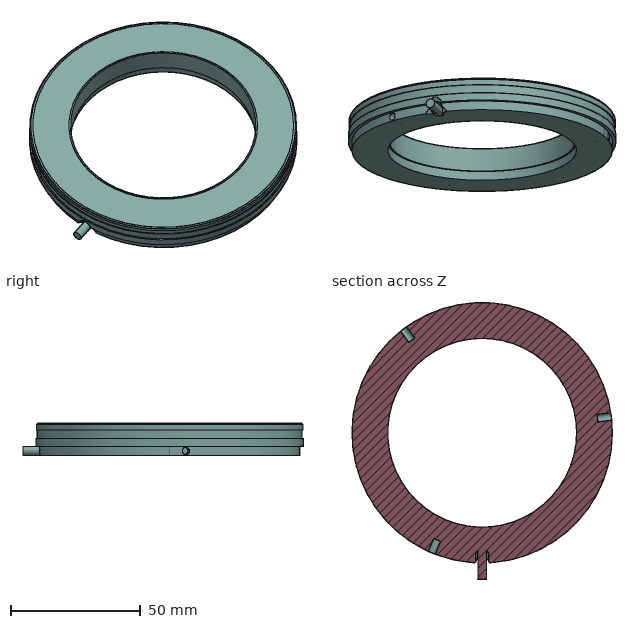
import cadquery as cq
import math

base_diameter = 100.6
flange_diameter = 103.35
neck_diameter = 102.3
rim_diameter = 103.0
lip_diameter = 102.15
bore_diameter = 71.5
lower_bore_diameter = 72.8

flange_bottom = 3.5
flange_top = 6.5
rim_bottom = 9.8
ring_height = 12.6
lip_height = 0.25
rim_chamfer = (rim_diameter - lip_diameter) / 2

base_radius = base_diameter / 2

recess_inner_diameter = lower_bore_diameter
recess_outer_diameter = base_diameter
recess_depth = 0.1

screw_hole_diameter = 2.8
screw_hole_depth = 5.4
screw_hole_count = 3
screw_hole_start_angle = 7.2

cable_diameter = 3.5
cable_end = 56.63
cable_angle = -90
cable_embedment = 1.0
radial_axis_height = cable_diameter / 2
cable_hole_diameter = 4.9
cable_hole_depth = 4.0
cable_hole_floor = base_radius - cable_hole_depth

relief_axis_radius = 54.5
relief_apex_height = 10.76
relief_half_angle = 30.0


def radial_cylinder(diameter, start_radius, end_radius, angle):
    """Cylinder along a ray at `angle` degrees from +X, at the radial axis height."""
    return (
        cq.Workplane("YZ", origin=(start_radius, 0, 0))
        .center(0, radial_axis_height)
        .circle(diameter / 2)
        .extrude(end_radius - start_radius)
        .rotate((0, 0, 0), (0, 0, 1), angle)
    )


def ring_body():
    flange_radius = flange_diameter / 2
    neck_radius = neck_diameter / 2
    rim_radius = rim_diameter / 2
    lip_radius = lip_diameter / 2
    bore_radius = bore_diameter / 2
    lower_bore_radius = lower_bore_diameter / 2
    lip_bottom = ring_height - lip_height
    return (
        cq.Workplane("XZ")
        .moveTo(lower_bore_radius, 0)
        .lineTo(base_radius, 0)
        .lineTo(base_radius, flange_bottom)
        .lineTo(flange_radius, flange_bottom)
        .lineTo(flange_radius, flange_top)
        .lineTo(neck_radius, flange_top)
        .lineTo(neck_radius, rim_bottom)
        .lineTo(rim_radius, rim_bottom)
        .lineTo(rim_radius, lip_bottom - rim_chamfer)
        .lineTo(lip_radius, lip_bottom)
        .lineTo(lip_radius, ring_height)
        .lineTo(bore_radius, ring_height)
        .lineTo(bore_radius, flange_bottom)
        .lineTo(lower_bore_radius, flange_bottom)
        .close()
        .revolve(360, (0, 0, 0), (0, 1, 0))
    )


def top_recess():
    return (
        cq.Workplane("XY", origin=(0, 0, ring_height - recess_depth))
        .circle(recess_outer_diameter / 2)
        .circle(recess_inner_diameter / 2)
        .extrude(recess_depth)
    )


def cable_hole():
    """Bore around the cable whose floor narrows to the cable by a 45 degree cone."""
    gap = (cable_hole_diameter - cable_diameter) / 2
    bore = radial_cylinder(cable_hole_diameter, cable_hole_floor, relief_axis_radius, cable_angle)
    taper = cq.Solid.makeCone(
        cable_hole_diameter / 2,
        cable_diameter / 2,
        gap,
        cq.Vector(0, -cable_hole_floor, radial_axis_height),
        cq.Vector(0, 1, 0),
    )
    return bore.union(cq.Workplane(taper))


def cable_relief():
    relief_base_radius = relief_apex_height * math.tan(math.radians(relief_half_angle))
    cone = cq.Solid.makeCone(relief_base_radius, 0, relief_apex_height)
    return cq.Workplane(cone.translate(cq.Vector(0, -relief_axis_radius, 0)))


def screw_hole(index):
    angle = screw_hole_start_angle + index * 360 / screw_hole_count
    return radial_cylinder(screw_hole_diameter, base_radius - screw_hole_depth, flange_diameter / 2, angle)


def cable():
    return radial_cylinder(cable_diameter, cable_hole_floor - cable_embedment, cable_end, cable_angle)


result = ring_body().cut(top_recess()).cut(cable_relief()).cut(cable_hole())
for index in range(screw_hole_count):
    result = result.cut(screw_hole(index))
result = result.union(cable())